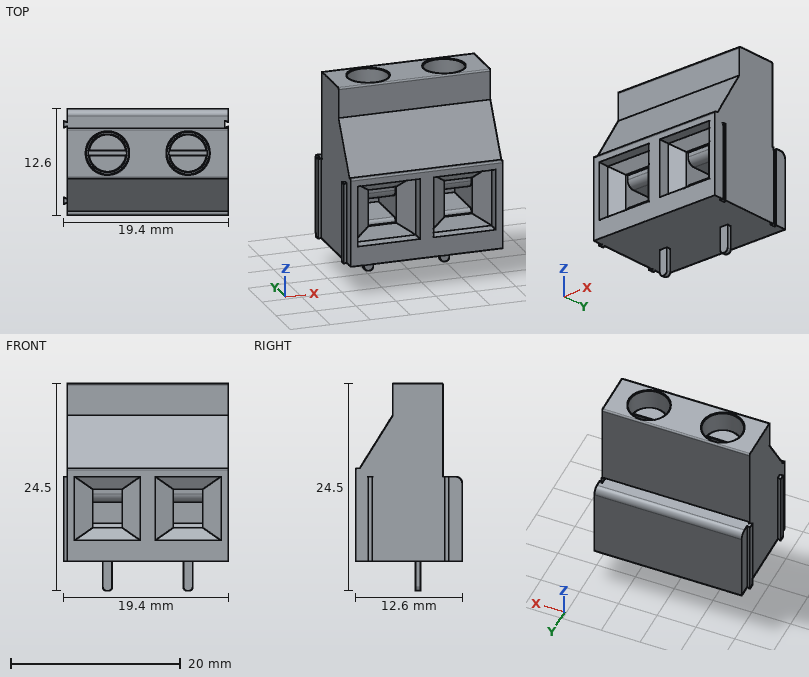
import cadquery as cq

POLES = 2
PITCH = 9.5
WIDTH = POLES * PITCH
DEPTH = 12.6
OVERALL_WIDTH = 19.43
OVERALL_HEIGHT = 24.5
PIN_LENGTH = 3.5
HEIGHT = OVERALL_HEIGHT - PIN_LENGTH

SHELF_HEIGHT = 10.0
SHELF_DEPTH = 2.28
SHELF_RADIUS = 0.83
TOWER_REAR_Y = DEPTH - SHELF_DEPTH
TOWER_FRONT_Y = 4.35
SLOPE_TOP_Z = 17.2
FRONT_LIP = 0.5
FRONT_HEIGHT = 11.0
EDGE_RADIUS = 0.2

RAIL_HEIGHT = SHELF_HEIGHT
RAIL_PROJECTION = OVERALL_WIDTH - WIDTH
RAIL_TIP = 0.8
RAIL_ROOT = 0.5
RAIL_CENTERS_Y = (1.75, DEPTH - 1.84)

POLE_XS = [(i - (POLES - 1) / 2) * PITCH for i in range(POLES)]
TERMINAL_Y = 7.35

WELL_RADIUS = 2.5
WELL_DEPTH = 2.5
WELL_CHAMFER = 0.1
SCREW_RADIUS = 2.25
SCREW_CHAMFER = 0.07
SCREW_HEAD_HEIGHT = 0.98
SCREW_SLOT_WIDTH = 0.51
SCREW_SLOT_DEPTH = 0.5

ENTRY_WIDTH = 7.8
ENTRY_BOTTOM_Z = 2.45
ENTRY_HEIGHT = SHELF_HEIGHT - ENTRY_BOTTOM_Z
ENTRY_DEPTH = 1.55
FUNNEL_DEPTH = 0.75
PASSAGE_WIDTH = 3.5
PASSAGE_HEIGHT = 4.55
PASSAGE_DEPTH = 0.32
ENTRY_CENTER_Z = ENTRY_BOTTOM_Z + ENTRY_HEIGHT / 2

CLAMP_FRONT_Y = ENTRY_DEPTH + FUNNEL_DEPTH + PASSAGE_DEPTH
CLAMP_REAR_Y = 8.58
CLAMP_LOWER_RADIUS = 0.51
CLAMP_UPPER_LIP = 0.51
CLAMP_UPPER_RADIUS = 1.0

PIN_WIDTH = 1.13
PIN_THICKNESS = 0.61
PIN_TIP_RADIUS = 0.5


def make_housing():
    """Stepped housing with a sloped front, a rear shelf and softened long edges."""
    profile = [
        (0, 0),
        (DEPTH, 0),
        (DEPTH, SHELF_HEIGHT),
        (TOWER_REAR_Y, SHELF_HEIGHT),
        (TOWER_REAR_Y, HEIGHT),
        (TOWER_FRONT_Y, HEIGHT),
        (TOWER_FRONT_Y, SLOPE_TOP_Z),
        (FRONT_LIP, FRONT_HEIGHT),
        (0, FRONT_HEIGHT),
    ]
    housing = cq.Workplane("YZ").polyline(profile).close().extrude(WIDTH / 2, both=True)
    housing = housing.edges(cq.NearestToPointSelector((0, DEPTH, SHELF_HEIGHT))).fillet(SHELF_RADIUS)
    for corner in [(0, TOWER_REAR_Y, HEIGHT), (0, TOWER_FRONT_Y, HEIGHT), (0, 0, FRONT_HEIGHT)]:
        housing = housing.edges(cq.NearestToPointSelector(corner)).fillet(EDGE_RADIUS)
    return housing


def make_dovetail(root_x, center_y):
    """Upright dovetail bar that widens towards -X from its root at root_x."""
    tip_x = root_x - RAIL_PROJECTION
    outline = [
        (root_x, center_y - RAIL_ROOT / 2),
        (root_x, center_y + RAIL_ROOT / 2),
        (tip_x, center_y + RAIL_TIP / 2),
        (tip_x, center_y - RAIL_TIP / 2),
    ]
    return cq.Workplane("XY").polyline(outline).close().extrude(RAIL_HEIGHT)


def make_well(x):
    """Cutting body of a screw well, leaving a slotted, chamfered screw head in it."""
    head_top = HEIGHT - WELL_DEPTH
    well_floor = head_top - SCREW_HEAD_HEIGHT
    well = (
        cq.Workplane("XY", origin=(x, TERMINAL_Y, well_floor))
        .circle(WELL_RADIUS)
        .extrude(HEIGHT - well_floor)
    )
    mouth = (
        cq.Workplane("XY", origin=(x, TERMINAL_Y, HEIGHT - WELL_CHAMFER))
        .circle(WELL_RADIUS)
        .workplane(offset=WELL_CHAMFER)
        .circle(WELL_RADIUS + WELL_CHAMFER)
        .loft()
    )
    head = (
        cq.Workplane("XY", origin=(x, TERMINAL_Y, well_floor))
        .circle(SCREW_RADIUS)
        .extrude(SCREW_HEAD_HEIGHT)
    )
    slot = cq.Workplane("XY", origin=(x, TERMINAL_Y, head_top)).box(
        2 * SCREW_RADIUS, SCREW_SLOT_WIDTH, 2 * SCREW_SLOT_DEPTH
    )
    head = head.cut(slot).faces(">Z").chamfer(SCREW_CHAMFER)
    return well.union(mouth).cut(head)


def make_entry(x):
    """Cutting body of a wire entry: straight mouth, funnel and narrow passage."""
    front = cq.Workplane("XZ", origin=(x, 0, ENTRY_CENTER_Z))
    mouth = front.rect(ENTRY_WIDTH, ENTRY_HEIGHT).extrude(-ENTRY_DEPTH)
    funnel = (
        front.workplane(offset=-ENTRY_DEPTH)
        .rect(ENTRY_WIDTH, ENTRY_HEIGHT)
        .workplane(offset=-FUNNEL_DEPTH)
        .rect(PASSAGE_WIDTH, PASSAGE_HEIGHT)
        .loft()
    )
    passage = front.rect(PASSAGE_WIDTH, PASSAGE_HEIGHT).extrude(-CLAMP_FRONT_Y)
    return mouth.union(funnel).union(passage)


def make_clamp_opening(x):
    """Cutting body of the clamp opening, whose front edges are rounded outwards."""
    bottom = ENTRY_CENTER_Z - PASSAGE_HEIGHT / 2
    floor = bottom + CLAMP_LOWER_RADIUS
    top = ENTRY_CENTER_Z + PASSAGE_HEIGHT / 2 - CLAMP_UPPER_LIP
    ceiling = top - CLAMP_UPPER_RADIUS
    return (
        cq.Workplane("YZ", origin=(x, 0, 0))
        .moveTo(CLAMP_FRONT_Y, bottom)
        .radiusArc((CLAMP_FRONT_Y + CLAMP_LOWER_RADIUS, floor), CLAMP_LOWER_RADIUS)
        .lineTo(CLAMP_REAR_Y, floor)
        .lineTo(CLAMP_REAR_Y, ceiling)
        .lineTo(CLAMP_FRONT_Y + CLAMP_UPPER_RADIUS, ceiling)
        .radiusArc((CLAMP_FRONT_Y, top), CLAMP_UPPER_RADIUS)
        .close()
        .extrude(PASSAGE_WIDTH / 2, both=True)
    )


def make_pin(x):
    """Flat solder pin below the housing with rounded tip corners."""
    return (
        cq.Workplane("XY", origin=(x, TERMINAL_Y, 0))
        .rect(PIN_WIDTH, PIN_THICKNESS)
        .extrude(-PIN_LENGTH)
        .edges("<Z and |Y")
        .fillet(PIN_TIP_RADIUS)
    )


result = make_housing()
for rail_y in RAIL_CENTERS_Y:
    result = result.union(make_dovetail(-WIDTH / 2, rail_y))
    result = result.cut(make_dovetail(WIDTH / 2, rail_y))
for pole_x in POLE_XS:
    result = result.cut(make_well(pole_x))
    result = result.cut(make_entry(pole_x))
    result = result.cut(make_clamp_opening(pole_x))
    result = result.union(make_pin(pole_x))